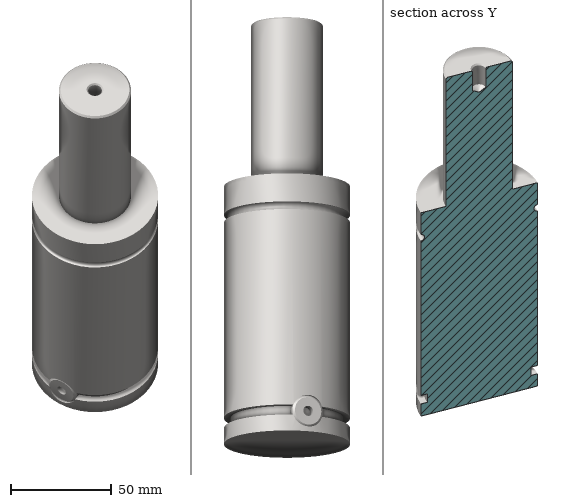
import cadquery as cq
import math

total_height = 214.0
outer_clearance = 2.1
body_diameter = 63.0
body_height = 131.2
rod_diameter = 36.0
rod_chamfer = 0.9

collar_height = 16.3
round_groove_radius = 2.0

flange_height = 8.1
square_groove_height = 5.1
square_groove_diameter = 56.0

rod_hole_diameter = 6.8
rod_hole_mouth_diameter = 8.3
rod_hole_depth = 12.8
drill_tip_angle = 118.0

plug_diameter = 16.0
plug_face_diameter = 14.0
plug_chamfer_depth = 0.9
plug_face_distance = 31.0
plug_root_distance = 23.5
plug_height = 10.5
plug_hole_diameter = 5.1
plug_hole_depth = 4.3

body_radius = body_diameter / 2
rod_radius = rod_diameter / 2


def ring_groove(bottom, height, floor_diameter):
    """Ring of material removed by a square groove."""
    return (
        cq.Workplane("XY", origin=(0, 0, bottom))
        .circle(body_radius + outer_clearance)
        .circle(floor_diameter / 2)
        .extrude(height)
    )


def make_body():
    body = cq.Workplane("XY").circle(body_radius).extrude(body_height)
    groove_center = body_height - collar_height
    round_groove = cq.Workplane("XY").add(
        cq.Solid.makeTorus(body_radius, round_groove_radius, cq.Vector(0, 0, groove_center))
    )
    square_groove = ring_groove(flange_height, square_groove_height, square_groove_diameter)
    return body.cut(round_groove).cut(square_groove)


def make_rod():
    rod = cq.Workplane("XY").circle(rod_radius).extrude(total_height)
    return rod.faces(">Z").chamfer(rod_chamfer)


def make_rod_hole():
    """Revolved solid of the hole: mouth countersink, straight wall, conical tip."""
    hole_radius = rod_hole_diameter / 2
    mouth_radius = rod_hole_mouth_diameter / 2
    countersink_depth = mouth_radius - hole_radius
    tip_depth = hole_radius / math.tan(math.radians(drill_tip_angle / 2))
    floor = total_height - rod_hole_depth
    return (
        cq.Workplane("XZ")
        .moveTo(0, total_height)
        .lineTo(mouth_radius, total_height)
        .lineTo(hole_radius, total_height - countersink_depth)
        .lineTo(hole_radius, floor)
        .lineTo(0, floor - tip_depth)
        .close()
        .revolve(360, (0, 0, 0), (0, 1, 0))
    )


def plug_cylinder(diameter, start, end):
    """Cylinder on the plug axis between two distances from the Z axis."""
    return (
        cq.Workplane("XZ", origin=(0, -start, plug_height))
        .circle(diameter / 2)
        .extrude(end - start)
    )


def make_plug():
    rim_width = (plug_diameter - plug_face_diameter) / 2
    plug = plug_cylinder(plug_diameter, plug_root_distance, plug_face_distance)
    plug = plug.faces("<Y").edges().chamfer(plug_chamfer_depth, rim_width)
    hole_floor = plug_face_distance - plug_hole_depth
    return plug.cut(plug_cylinder(plug_hole_diameter, hole_floor, plug_face_distance))


plug_seat = plug_cylinder(plug_diameter, plug_root_distance, body_radius + outer_clearance)

result = make_body().union(make_rod()).cut(make_rod_hole())
result = result.cut(plug_seat).union(make_plug())